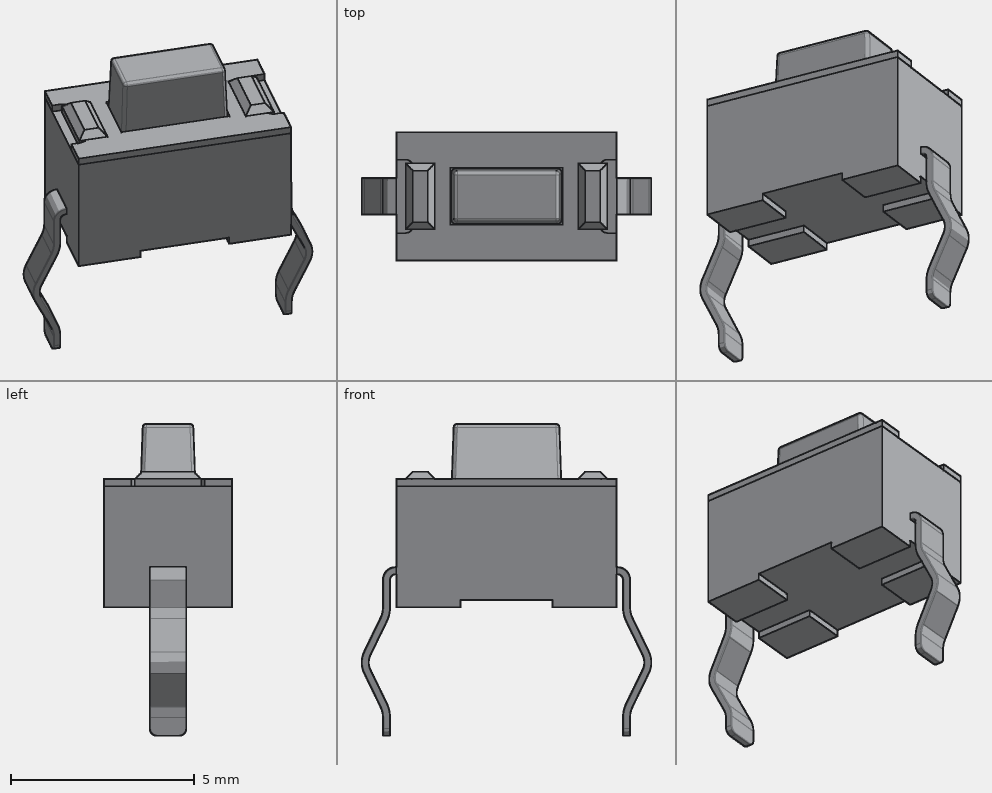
import cadquery as cq
import math

housing_length = 6.0
housing_depth = 3.5
housing_height = 3.3
underside_slot_length = 2.5
underside_slot_height = 0.2
leg_slot_width = 1.0

cover_thickness = 0.2
cover_top = housing_height + cover_thickness
notch_width = 2.0
notch_depth = 0.45
notch_corner_radius = 0.2

button_length = 3.0
button_width = 1.5
button_height_above_cover = 1.5
button_height = cover_thickness + button_height_above_cover
button_draft = 2.0
button_edge_radius = 0.1
window_clearance = 0.03

stud_length = 0.8
stud_width = 1.8
stud_inset = 0.25
stud_head_height = 0.2
stud_head_slope = 45
stud_offset = housing_length / 2 - stud_inset - stud_length / 2

leg_width = 1.0
leg_thickness = 0.2
leg_top = 1.1
leg_foot = -3.5
leg_elbow_radius = 0.25
leg_elbow_reach = 0.02
leg_shank_bend_radius = 0.77
leg_knee_radius = 0.57
leg_shank_x = housing_length / 2 + leg_elbow_reach + leg_elbow_radius
leg_span = 7.9
leg_knee_x = leg_span / 2 - leg_thickness / 2
leg_knee_z = -1.5
leg_foot_corner_radius = 0.2
leg_edge_radius = 0.02

end_angles = (0, 180)


def at_height(z):
    return cq.Workplane("XY").workplane(offset=z)


def make_block():
    """Block with two crossing slots in its underside, the lengthwise one reaching both legs."""
    block = at_height(0).box(housing_length, housing_depth, housing_height, centered=(True, True, False))
    for slot_length, slot_width in ((underside_slot_length, housing_depth), (housing_length, leg_slot_width)):
        slot = at_height(0).box(slot_length, slot_width, underside_slot_height, centered=(True, True, False))
        block = block.cut(slot)
    return block


def make_button():
    button = (
        at_height(housing_height)
        .rect(button_length, button_width)
        .extrude(button_height, taper=button_draft)
    )
    return button.edges("not <Z").fillet(button_edge_radius)


def make_stud_post():
    """Straight part of the +X stud, as thick as the cover."""
    return (
        at_height(housing_height)
        .center(stud_offset, 0)
        .rect(stud_length, stud_width)
        .extrude(cover_thickness)
    )


def make_stud():
    """The +X stud: a post and a head with four sloping sides."""
    head = (
        at_height(cover_top)
        .center(stud_offset, 0)
        .rect(stud_length, stud_width)
        .extrude(stud_head_height, taper=stud_head_slope)
    )
    return make_stud_post().union(head)


def make_leg():
    """The +X leg: a strip bent down at the elbow, out to the knee and back in to the foot."""
    radius_sum = leg_shank_bend_radius + leg_knee_radius
    centre_dx = radius_sum - (leg_knee_x - leg_shank_x)
    centre_dz = -leg_knee_z
    slope = math.atan2(centre_dz, centre_dx) - math.acos(radius_sum / math.hypot(centre_dx, centre_dz))

    elbow_z = leg_top - leg_thickness / 2
    bend_x = leg_shank_x + leg_shank_bend_radius * (1 - math.cos(slope))
    bend_drop = leg_shank_bend_radius * math.sin(slope)
    knee_x = leg_knee_x - leg_knee_radius * (1 - math.cos(slope))
    knee_rise = leg_knee_radius * math.sin(slope)
    lower_bend_z = 2 * leg_knee_z

    path = (
        cq.Workplane("XZ")
        .moveTo(housing_length / 2, elbow_z)
        .lineTo(housing_length / 2 + leg_elbow_reach, elbow_z)
        .tangentArcPoint((leg_shank_x, elbow_z - leg_elbow_radius), relative=False)
        .lineTo(leg_shank_x, 0)
        .tangentArcPoint((bend_x, -bend_drop), relative=False)
        .lineTo(knee_x, leg_knee_z + knee_rise)
        .tangentArcPoint((knee_x, leg_knee_z - knee_rise), relative=False)
        .lineTo(bend_x, lower_bend_z + bend_drop)
        .tangentArcPoint((leg_shank_x, lower_bend_z), relative=False)
        .lineTo(leg_shank_x, leg_foot)
    )
    strip = (
        cq.Workplane("YZ", origin=(housing_length / 2, 0, elbow_z))
        .rect(leg_width, leg_thickness)
        .sweep(path)
    )
    strip = strip.faces("<Z").edges("|X").fillet(leg_foot_corner_radius)
    return strip.faces("<Z").edges("|Y").fillet(leg_edge_radius)


def make_housing():
    """Housing block in one piece with its button, studs and legs."""
    housing = make_block().union(make_button())
    for angle in end_angles:
        for end_feature in (make_stud(), make_leg()):
            housing = housing.union(end_feature.rotate((0, 0, 0), (0, 0, 1), angle))
    return housing


def make_end_opening():
    """Opening at the +X end of the cover: a notch with round inner corners, and the stud hole."""
    notch = (
        at_height(housing_height)
        .center(housing_length / 2 - notch_depth / 2, 0)
        .rect(notch_depth, notch_width)
        .extrude(cover_thickness)
        .edges("|Z and <X")
        .fillet(notch_corner_radius)
    )
    return notch.union(make_stud_post())


def make_cover():
    cover = (
        at_height(housing_height)
        .rect(housing_length, housing_depth)
        .rect(button_length + 2 * window_clearance, button_width + 2 * window_clearance)
        .extrude(cover_thickness)
    )
    for angle in end_angles:
        cover = cover.cut(make_end_opening().rotate((0, 0, 0), (0, 0, 1), angle))
    return cover


housing = make_housing()
cover = make_cover()
result = cq.Compound.makeCompound([*housing.solids().vals(), *cover.solids().vals()])